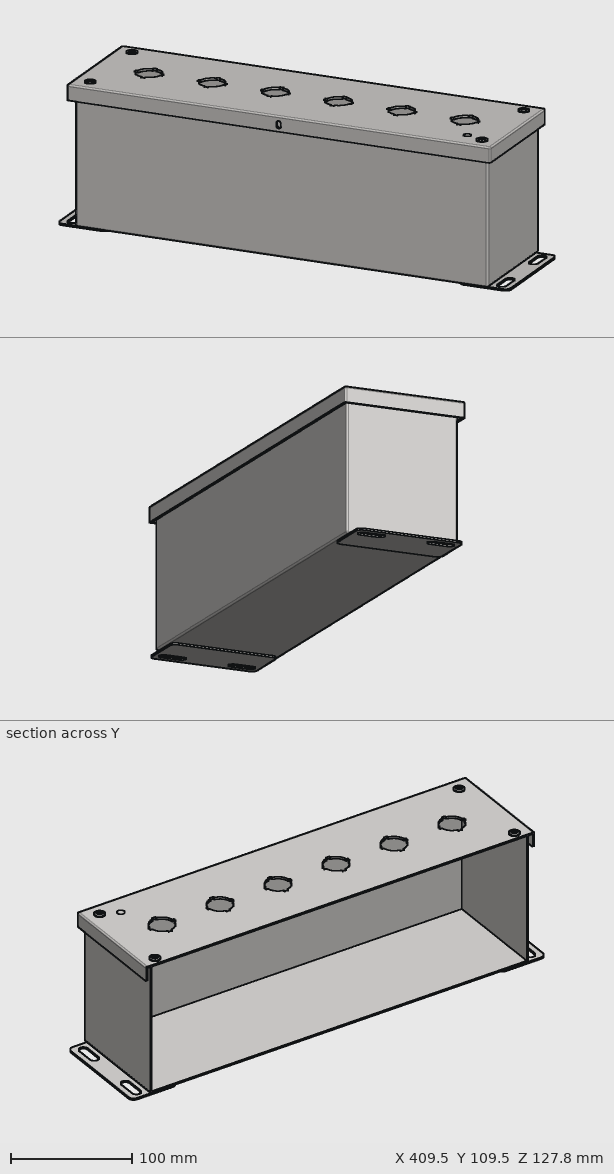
import cadquery as cq


total_length = 409.5
lid_width = 109.5
total_height = 127.8

sheet = 2.0
foot_thickness = 1.5

box_length = 374.5
box_width = 101.0
box_edge_radius = 1.5

lid_x = -1.0
lid_length = 384.0
lid_height = 14.0
lid_edge_radius = 1.45
screw_head_height = 1.5
lid_top = total_height - screw_head_height
lid_bottom = lid_top - lid_height
lid_underside = lid_top - sheet

foot_length = 45.0
foot_width = 96.0
foot_corner_radius = 5.0
foot_x = (total_length - foot_length) / 2
slot_width = 8.0
slot_length = 24.0
slot_x = 195.0
slot_y = 31.5

button_count = 6
button_pitch = 57.5
button_diameter = 22.5
notch_span = 25.5
notch_width = 3.3

screw_x = 177.8
screw_y = 41.5
screw_head_diameter = 9.5
screw_crown_diameter = 5.7
screw_socket_diameter = 3.3
screw_bevel_height = 1.0
screw_socket_depth = 1.0

plug_diameter = 6.5
plug_x = 161.5
plug_y = -34.5

skirt_slot_width = 4.0
skirt_slot_height = 6.5
skirt_slot_z = 118.5

signs = (-1, 1)
button_points = [((i - (button_count - 1) / 2) * button_pitch, 0) for i in range(button_count)]
screw_points = [(sx * screw_x, sy * screw_y) for sx in signs for sy in signs]


def block(length, width, bottom, top, center_x=0):
    return cq.Workplane("XY", origin=(center_x, 0, bottom)).box(
        length, width, top - bottom, centered=(True, True, False)
    )


def make_foot(side):
    foot = (
        cq.Workplane("XY", origin=(side * foot_x, 0, 0))
        .box(foot_length, foot_width, foot_thickness, centered=(True, True, False))
        .edges("|Z")
        .fillet(foot_corner_radius)
    )
    slots = (
        cq.Workplane("XY")
        .pushPoints([(side * slot_x, sy * slot_y) for sy in signs])
        .slot2D(slot_length, slot_width, 90)
        .extrude(foot_thickness)
    )
    return foot.cut(slots)


def make_box():
    shell = block(box_length, box_width, foot_thickness, lid_underside)
    shell = shell.edges("|Z or <Z").fillet(box_edge_radius)
    shell = shell.cut(
        block(box_length - 2 * sheet, box_width - 2 * sheet, foot_thickness + sheet, lid_underside)
    )
    for side in signs:
        shell = shell.union(make_foot(side))
    return shell


def button_cutter():
    cutter = (
        cq.Workplane("XY", origin=(0, 0, lid_underside))
        .pushPoints(button_points)
        .circle(button_diameter / 2)
        .extrude(sheet)
    )
    for size in ((notch_span, notch_width), (notch_width, notch_span)):
        notches = (
            cq.Workplane("XY", origin=(0, 0, lid_underside))
            .pushPoints(button_points)
            .rect(*size)
            .extrude(sheet)
        )
        cutter = cutter.union(notches)
    return cutter


def screw_heads():
    bevel = (screw_head_diameter - screw_crown_diameter) / 2
    heads = (
        cq.Workplane("XY", origin=(0, 0, lid_top))
        .pushPoints(screw_points)
        .circle(screw_head_diameter / 2)
        .extrude(screw_head_height)
        .faces(">Z")
        .edges()
        .chamfer(screw_bevel_height, bevel)
    )
    sockets = (
        cq.Workplane("XY", origin=(0, 0, total_height - screw_socket_depth))
        .pushPoints(screw_points)
        .circle(screw_socket_diameter / 2)
        .extrude(screw_socket_depth)
    )
    return heads.cut(sockets)


def make_plug():
    return (
        cq.Workplane("XY", origin=(plug_x, plug_y, lid_underside))
        .circle(plug_diameter / 2)
        .extrude(sheet)
    )


def make_lid():
    lid = block(lid_length, lid_width, lid_bottom, lid_top, lid_x)
    lid = lid.edges("|Z or >Z").fillet(lid_edge_radius)
    lid = lid.cut(
        block(lid_length - 2 * sheet, lid_width - 2 * sheet, lid_bottom, lid_underside, lid_x)
    )
    skirt_slot = (
        cq.Workplane("XZ", origin=(lid_x, sheet - lid_width / 2, skirt_slot_z))
        .slot2D(skirt_slot_height, skirt_slot_width, 90)
        .extrude(sheet)
    )
    return lid.cut(button_cutter()).cut(make_plug()).cut(skirt_slot).union(screw_heads())


box = make_box()
lid = make_lid()
plug = make_plug()
result = cq.Compound.makeCompound([box.val(), lid.val(), plug.val()])